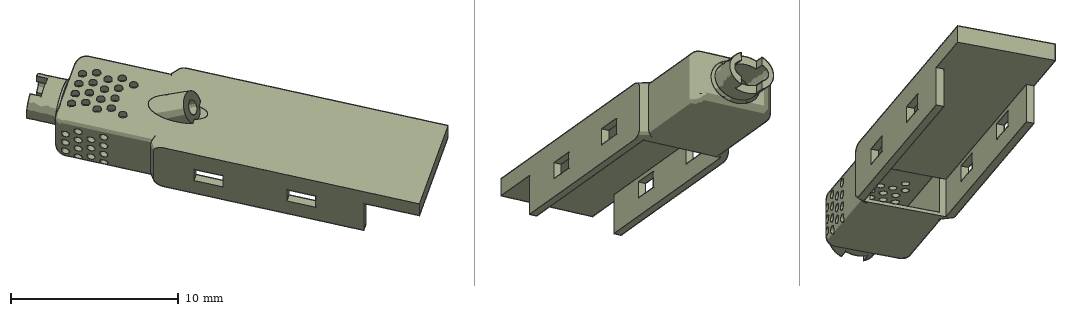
import cadquery as cq
import math

total_length = 24.9
width = 6.3
deck_height = 3.65
plate_thickness = 1.12
skirt_end = 21.45
wall = 0.5
floor_thickness = 0.22

head_start = 1.97
head_width = 5.45
head_round = 0.55
front_round = 0.75
shoulder_start_left = 7.75
shoulder_start_right = 8.07
shoulder_angle = 35.0
cavity_step = 8.47
selection_margin = 0.25

nozzle_height = 1.87
nozzle_outer_width = 3.01
nozzle_outer_height = 2.37
nozzle_bore_width = 2.32
nozzle_bore_height = 1.32
nozzle_flare = 0.17
notch_width = 1.42
notch_depth = 0.7

window_start = 10.88
window_pitch = 5.78
window_length = 1.8
window_bottom = 1.2
window_height = 1.05
window_count = 2

vent_diameter = 0.5
vent_pitch = 0.8
vent_first_x = 2.76
top_vent_low_y = -1.35
side_vent_low_z = 0.5
vent_stagger = 0.3
vent_rows = 4

boss_diameter = 2.02
boss_bore = 0.9
boss_tip_height = 4.95
boss_tip_x = 9.4
boss_angle = 30.0
boss_length = 4.48
relief_diameter = 1.1
relief_drop = 0.27
relief_length = 1.0

half_width = width / 2
half_head = head_width / 2
roof = deck_height - wall
plate_underside = deck_height - plate_thickness
shoulder_run = (half_width - half_head) * math.tan(math.radians(shoulder_angle))


def box(x_start, x_end, box_width, z_start, z_end):
    """Block centred on Y between the given X and Z limits."""
    return (
        cq.Workplane("XY")
        .box(x_end - x_start, box_width, z_end - z_start, centered=(False, True, False))
        .translate((x_start, 0, z_start))
    )


def shell_body():
    """Solid outline with a rounded head, angled shoulders and a plate overhanging the skirt."""
    outline = [
        (head_start, -half_head),
        (shoulder_start_right, -half_head),
        (shoulder_start_right + shoulder_run, -half_width),
        (total_length, -half_width),
        (total_length, half_width),
        (shoulder_start_left + shoulder_run, half_width),
        (shoulder_start_left, half_head),
        (head_start, half_head),
    ]
    body = cq.Workplane("XY").polyline(outline).close().extrude(deck_height)
    body = body.faces("<X").edges().fillet(front_round)
    head_region = cq.selectors.BoxSelector(
        (head_start + front_round, -half_width, -selection_margin),
        (shoulder_start_right + shoulder_run, half_width, deck_height + selection_margin),
    )
    body = body.edges(head_region).edges("#Z").fillet(head_round)
    return body.cut(box(skirt_end, total_length, width, 0, plate_underside))


def oval(x_start, oval_width, oval_height, length):
    """Elliptical rod along X on the nozzle axis."""
    return (
        cq.Workplane("YZ", origin=(x_start, 0, nozzle_height))
        .ellipse(oval_width / 2, oval_height / 2)
        .extrude(length)
    )


def nozzle():
    """Oval tube with a tapered flare where it meets the head."""
    tube = oval(0, nozzle_outer_width, nozzle_outer_height, head_start + wall)
    flare = (
        cq.Workplane("YZ", origin=(head_start - nozzle_flare, 0, nozzle_height))
        .ellipse(nozzle_outer_width / 2, nozzle_outer_height / 2)
        .workplane(offset=nozzle_flare)
        .ellipse(nozzle_outer_width / 2 + nozzle_flare, nozzle_outer_height / 2 + nozzle_flare)
        .loft()
    )
    return tube.union(flare)


def cavities():
    """Closed-floor chamber in the head, opening into a rear bay without floor or end wall."""
    front = box(head_start + wall, cavity_step, head_width - 2 * wall, floor_thickness, roof)
    rear = box(cavity_step, skirt_end, width - 2 * wall, 0, plate_underside)
    return front.union(rear)


def windows():
    """Rectangular openings through both side walls."""
    cutters = cq.Workplane("XY")
    for index in range(window_count):
        start = window_start + index * window_pitch
        cutters = cutters.union(
            box(start, start + window_length, width, window_bottom, window_bottom + window_height)
        )
    return cutters


def vent_points(low, columns):
    """Vent centres; each column is a pair of its shift from the low row and its row numbers."""
    points = []
    for number, (shift, rows) in enumerate(columns):
        for row in rows:
            points.append((vent_first_x + number * vent_pitch, low + shift + row * vent_pitch))
    return points


def vents():
    """Staggered vent holes through the roof and the -Y wall of the head."""
    plain = (0, range(vent_rows))
    raised = (vent_stagger, range(vent_rows))
    raised_short = (vent_stagger, range(vent_rows - 1))
    outer_pair = (0, (0, vent_rows - 1))
    top_points = vent_points(top_vent_low_y, [plain, raised, plain, raised, outer_pair])
    top = (
        cq.Workplane("XY", origin=(0, 0, deck_height))
        .pushPoints(top_points)
        .circle(vent_diameter / 2)
        .extrude(-wall)
    )
    side_points = vent_points(side_vent_low_z, [raised_short, plain, raised_short, plain])
    side = (
        cq.Workplane("XZ", origin=(0, -half_head, 0))
        .pushPoints(side_points)
        .circle(vent_diameter / 2)
        .extrude(-wall)
    )
    return top.union(side)


slope = math.radians(boss_angle)
boss_axis = cq.Vector(math.cos(slope), 0, math.sin(slope))
down_end_face = cq.Vector(math.sin(slope), 0, -math.cos(slope))
boss_tip = cq.Vector(boss_tip_x, 0, boss_tip_height)
boss_end = boss_tip + down_end_face * (boss_diameter / 2)


def slanted_rod(end, diameter, length):
    """Rod from a point on the boss end face; a negative length runs into the deck."""
    plane = cq.Plane(origin=end.toTuple(), xDir=(0, 1, 0), normal=boss_axis.toTuple())
    return cq.Workplane(plane).circle(diameter / 2).extrude(length)


def boss():
    """Slanted boss, trimmed flush with the roof of the head chamber."""
    rod = slanted_rod(boss_end, boss_diameter, -boss_length)
    return rod.intersect(box(0, total_length, width, roof, boss_tip_height))


result = shell_body().cut(cavities()).cut(windows())
result = result.union(nozzle()).union(boss())
result = result.cut(oval(0, nozzle_bore_width, nozzle_bore_height, head_start + wall))
result = result.cut(box(0, notch_depth, notch_width, 0, deck_height))
result = result.cut(vents())
result = result.cut(slanted_rod(boss_end, boss_bore, -boss_length))

result = result.cut(slanted_rod(boss_end + down_end_face * relief_drop, relief_diameter, relief_length))